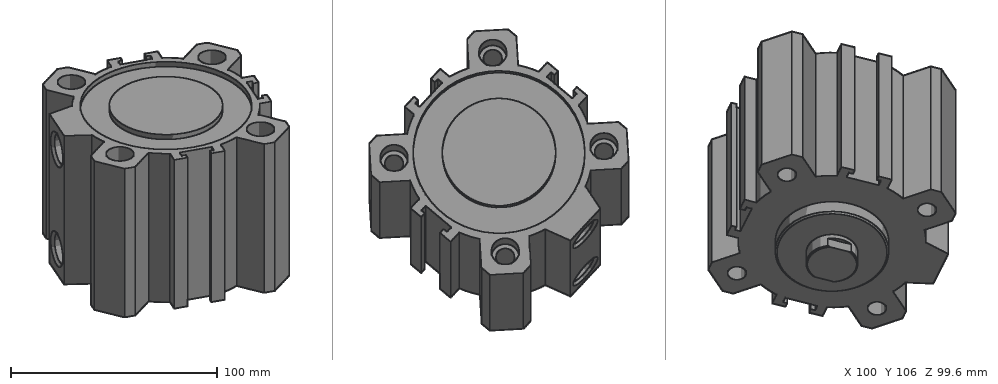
import cadquery as cq

overall_width = 100.0
half_width = overall_width / 2
overall_depth = 106.0
pad_reach = overall_depth - half_width
body_height = 84.0

barrel_radius = 45.5
recess_diameter = 83.2
recess_depth = 2.8
boss_diameter = 55.0
collar_height = 7.5
collar_chamfer = 0.8

lug_width = 24.0
lug_reach = 62.5
hole_offset = 36.0
hole_diameter = 9.0
counterbore_diameter = 13.5
counterbore_depth = 8.8

rail_width = 26.0
back_rail_reach = 49.6
slot_opening = 12.2
slot_width = 16.5
lip_thickness = 2.6
slot_floor = 44.2

pad_face_width = 21.8
pad_root_width = 29.3
pad_root_reach = 43.4
port_diameter = 14.9
port_chamfer = 1.5
port_depth = 11.0
port_end_distance = 13.9

rod_diameter = 25.0
rod_length = 8.1
rod_chamfer = 0.5
flat_spacing = 21.9
flat_length = 5.4


def make_lugs():
    """Diagonal cross of four lugs, trimmed by the square envelope."""
    bar = cq.Workplane("XY").rect(2 * lug_reach, lug_width).extrude(body_height)
    cross = bar.rotate((0, 0, 0), (0, 0, 1), 45).union(bar.rotate((0, 0, 0), (0, 0, 1), 135))
    envelope = cq.Workplane("XY").rect(2 * half_width, 2 * half_width).extrude(body_height)
    return cross.intersect(envelope)


def make_rail(reach, angle):
    """Rail block along +X that starts on the axis, turned by the angle about Z."""
    rail = cq.Workplane("XY").center(reach / 2, 0).rect(reach, rail_width).extrude(body_height)
    return rail.rotate((0, 0, 0), (0, 0, 1), angle)


def make_rail_slot(reach, angle):
    """T-slot cutter along +X for a rail of the given reach, turned by the angle about Z."""
    lip_inner = reach - lip_thickness
    slot = (
        cq.Workplane("XY")
        .center((slot_floor + lip_inner) / 2, 0)
        .rect(lip_inner - slot_floor, slot_width)
        .extrude(body_height)
    )
    opening = (
        cq.Workplane("XY")
        .center((slot_floor + reach) / 2, 0)
        .rect(reach - slot_floor, slot_opening)
        .extrude(body_height)
    )
    return slot.union(opening).rotate((0, 0, 0), (0, 0, 1), angle)


def make_port_pad():
    """Tapered pad on the -Y side; its straight inner part lies inside the barrel."""
    return (
        cq.Workplane("XY")
        .polyline([
            (-pad_face_width / 2, -pad_reach),
            (pad_face_width / 2, -pad_reach),
            (pad_root_width / 2, -pad_root_reach),
            (pad_root_width / 2, 0),
            (-pad_root_width / 2, 0),
            (-pad_root_width / 2, -pad_root_reach),
        ])
        .close()
        .extrude(body_height)
    )


def make_port(height):
    """Blind port cutter with a countersunk mouth on the pad face."""
    mouth_radius = port_diameter / 2 + port_chamfer
    return (
        cq.Workplane("XY")
        .polyline([
            (0, 0),
            (mouth_radius, 0),
            (port_diameter / 2, port_chamfer),
            (port_diameter / 2, port_depth),
            (0, port_depth),
        ])
        .close()
        .revolve(360, (0, 0, 0), (0, 1, 0))
        .translate((0, -pad_reach, height))
    )


def make_housing():
    body = cq.Workplane("XY").circle(barrel_radius).extrude(body_height)
    body = body.union(make_lugs()).union(make_port_pad())

    rails = [(half_width, 0), (back_rail_reach, 90), (half_width, 180)]
    for reach, angle in rails:
        body = body.union(make_rail(reach, angle))
    for reach, angle in rails:
        body = body.cut(make_rail_slot(reach, angle))

    recess = (
        cq.Workplane("XY", origin=(0, 0, body_height))
        .circle(recess_diameter / 2)
        .circle(boss_diameter / 2)
        .extrude(-recess_depth)
    )
    body = body.cut(recess)

    body = (
        body.cut(
            cq.Workplane("XY", origin=(0, 0, body_height))
            .rect(2 * hole_offset, 2 * hole_offset, forConstruction=True)
            .vertices()
            .circle(counterbore_diameter / 2)
            .extrude(-counterbore_depth)
        )
        .cut(
            cq.Workplane("XY")
            .rect(2 * hole_offset, 2 * hole_offset, forConstruction=True)
            .vertices()
            .circle(hole_diameter / 2)
            .extrude(body_height)
        )
    )

    for height in (port_end_distance, body_height - port_end_distance):
        body = body.cut(make_port(height))

    collar = (
        cq.Workplane("XY")
        .circle(boss_diameter / 2)
        .extrude(-collar_height)
        .faces("<Z")
        .chamfer(collar_chamfer)
    )
    return body.union(collar)


def make_rod():
    """Rod end standing on the collar face, with two wrench flats at its tip."""
    rod = (
        cq.Workplane("XY", origin=(0, 0, -collar_height))
        .circle(rod_diameter / 2)
        .extrude(-rod_length)
        .faces("<Z")
        .chamfer(rod_chamfer)
    )
    flat_band = (
        cq.Workplane("XY", origin=(0, 0, -collar_height - rod_length))
        .rect(2 * rod_diameter, 2 * rod_diameter)
        .extrude(flat_length)
    )
    kept_width = (
        cq.Workplane("XY", origin=(0, 0, -collar_height - rod_length))
        .rect(flat_spacing, 2 * rod_diameter)
        .extrude(flat_length)
    )
    return rod.cut(flat_band.cut(kept_width))


housing = make_housing()
rod = make_rod()
result = cq.Compound.makeCompound([housing.val(), rod.val()])